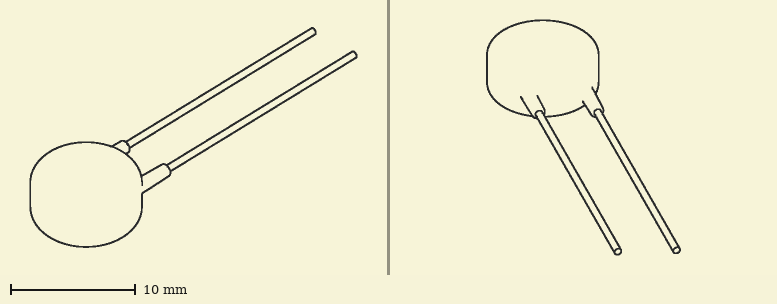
import cadquery as cq

case_diameter = 9.0
case_height = 3.5
case_edge_radius = 0.4

overall_length = 31.0
wire_tip_y = overall_length - case_diameter / 2

lead_spacing = 4.95
lead_height_step = 1.0
wire_diameter = 0.6

root_diameter = 1.2
sleeve_tip_diameter = 1.1
taper_start_y = 4.3
sleeve_tip_y = 6.45
sleeve_tip_radius = 0.15
root_fillet_radius = 0.2


def make_case():
    case = cq.Workplane("XY").cylinder(case_height, case_diameter / 2)
    return case.faces("|Z").edges().fillet(case_edge_radius)


def make_sleeve(x, z):
    """Revolve the sleeve about its own axis, starting well inside the case."""
    root_radius = root_diameter / 2
    tip_radius = sleeve_tip_diameter / 2
    profile = (
        cq.Workplane("YZ")
        .lineTo(0, root_radius)
        .lineTo(taper_start_y, root_radius)
        .lineTo(sleeve_tip_y, tip_radius)
        .lineTo(sleeve_tip_y, 0)
        .close()
    )
    sleeve = profile.revolve(360, (0, 0, 0), (1, 0, 0))
    return sleeve.faces(">Y").edges().fillet(sleeve_tip_radius).translate((x, 0, z))


def make_wire(x, z):
    """Run the wire from inside the case out to its free tip."""
    wire = cq.Workplane("XZ").circle(wire_diameter / 2).extrude(-wire_tip_y)
    return wire.translate((x, 0, z))


def blend_root(body, x, z):
    """Fillet the curved edge where one sleeve root meets the case wall."""
    root_zone = cq.selectors.BoxSelector(
        (x - root_diameter, 0, z - root_diameter),
        (x + root_diameter, taper_start_y, z + root_diameter),
    )
    curved_edges = body.faces("%CYLINDER").edges("not(%CIRCLE or %LINE)")
    return curved_edges.edges(root_zone).fillet(root_fillet_radius)


result = make_case()

for side in (-1, 1):
    lead_x = side * lead_spacing / 2
    lead_z = side * lead_height_step / 2
    result = result.union(make_sleeve(lead_x, lead_z))
    result = blend_root(result, lead_x, lead_z)
    result = result.union(make_wire(lead_x, lead_z))